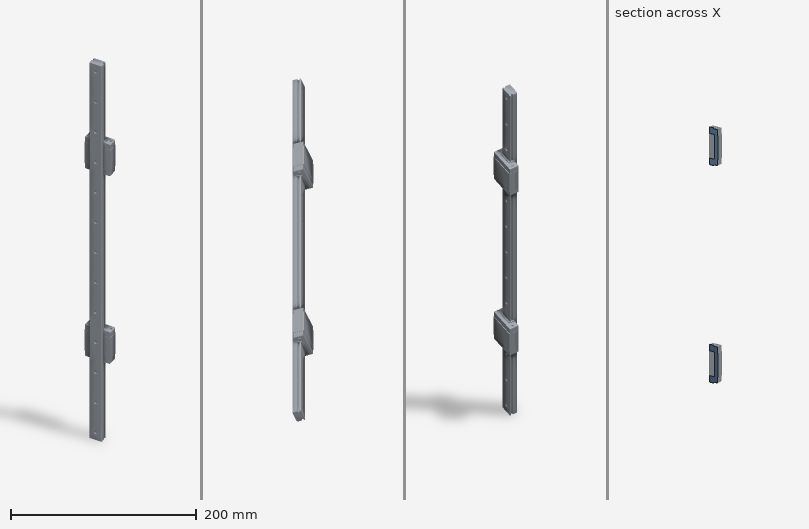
import cadquery as cq

rail_length = 500.0
rail_width = 15.0
rail_height = 9.5
rail_edge_chamfer = 0.5
groove_bottom_y = 5.5
groove_top_y = 8.0
groove_depth = 2.0
groove_floor_height = 1.5

hole_diameter = 4.15
hole_pitch = 40.0
hole_count = 13

carriage_spacing = 250.0
carriage_width = 32.0
carriage_top_y = 16.0
carriage_bottom_y = 4.0
body_length = 28.0
body_edge_chamfer = 0.5
body_clearance = 1.0
carriage_length = 42.0
cap_inset = 0.25
cap_drop = 0.75
cap_end_fillet = 1.0
seal_length = 44.0
seal_thickness = 1.0
seal_top_y = 11.0
seal_corner_chamfer = 1.5

screw_diameter = 3.0
screw_depth = 1.0
screw_spacing = 27.0
screw_y = 10.5


def rail_blank(length):
    """Rail without its holes, centred on z = 0."""
    half_width = rail_width / 2
    groove_middle_y = (groove_bottom_y + groove_top_y) / 2
    right_side = [
        (half_width - rail_edge_chamfer, 0),
        (half_width, rail_edge_chamfer),
        (half_width, groove_bottom_y),
        (half_width - groove_depth, groove_middle_y - groove_floor_height / 2),
        (half_width - groove_depth, groove_middle_y + groove_floor_height / 2),
        (half_width, groove_top_y),
        (half_width, rail_height - rail_edge_chamfer),
        (half_width - rail_edge_chamfer, rail_height),
    ]
    left_side = [(-x, y) for x, y in reversed(right_side)]
    outline = cq.Workplane("XY").polyline(right_side + left_side).close()
    return outline.extrude(length / 2, both=True)


def make_rail():
    """Rail with its row of mounting holes."""
    holes = (
        cq.Workplane("XZ")
        .rarray(5, hole_pitch, 1, hole_count)
        .circle(hole_diameter / 2)
        .extrude(-rail_height)
    )
    return rail_blank(rail_length).cut(holes)


def bar(width, bottom_y, top_y, length):
    """Box centred on x = 0 and z = 0, between two heights in y."""
    middle_y = (bottom_y + top_y) / 2
    return cq.Workplane("XY").box(width, top_y - bottom_y, length).translate((0, middle_y, 0))


def make_carriage():
    """Carriage centred on z = 0, with an opening that fits around the rail."""
    opening_width = rail_width + 2 * body_clearance
    opening_top_y = rail_height + body_clearance
    body = bar(carriage_width, carriage_bottom_y, carriage_top_y, body_length)
    body = body.edges("|Z and >Y").chamfer(body_edge_chamfer)

    cap_width = carriage_width - 2 * cap_inset
    caps = bar(cap_width, carriage_bottom_y + cap_inset, carriage_top_y - cap_drop, carriage_length)
    caps = caps.faces("<Z or >Z").edges("|Y").fillet(cap_end_fillet)
    for end in (1, -1):
        screws = (
            cq.Workplane("XY", origin=(0, screw_y, end * carriage_length / 2))
            .rarray(screw_spacing, 5, 2, 1)
            .circle(screw_diameter / 2)
            .extrude(-end * screw_depth)
        )
        caps = caps.cut(screws)

    seal_width = rail_width + 2 * seal_thickness
    seals = bar(seal_width, carriage_bottom_y + cap_inset, seal_top_y, seal_length)
    seals = seals.edges("|Z and >Y").chamfer(seal_corner_chamfer)

    opening = bar(opening_width, carriage_bottom_y, opening_top_y, body_length)
    return body.union(caps).union(seals).cut(opening).cut(rail_blank(seal_length))


rail = make_rail()
carriage = make_carriage()
carriages = [carriage.translate((0, 0, side * carriage_spacing / 2)) for side in (1, -1)]

result = cq.Compound.makeCompound([rail.val(), *[item.val() for item in carriages]])